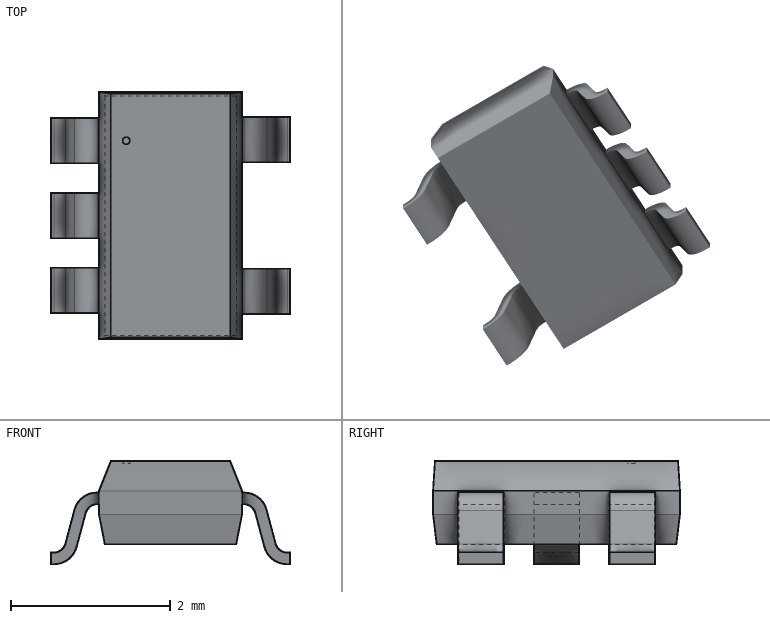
import cadquery as cq
import math

SPAN_X = 3.0
HEIGHT = 1.3

HOUSING_X = 1.798
HOUSING_Y = 3.1
HOUSING_BOTTOM_Z = 0.25
WAIST_BOTTOM_Z = 0.63
WAIST_TOP_Z = 0.92
TOP_INSET_X = 0.152
TOP_INSET_Y = 0.025
BOTTOM_INSET_X = 0.075
BOTTOM_INSET_Y = 0.045

LEAD_WIDTH = 0.57
LEAD_THICKNESS = 0.15
LEAD_TOP_Z = 0.902
INNER_BEND_RADIUS = 0.15
OUTER_BEND_RADIUS = INNER_BEND_RADIUS + LEAD_THICKNESS
BEND_ANGLE = 75.0
FOOT_FLAT = 0.037
LEFT_PITCH = 0.94
RIGHT_OFFSET_Y = 0.952
LEFT_LEAD_YS = (-LEFT_PITCH, 0, LEFT_PITCH)
RIGHT_LEAD_YS = (-RIGHT_OFFSET_Y, RIGHT_OFFSET_Y)

MARKER_DIAMETER = 0.09
MARKER_DEPTH = 0.03
MARKER_X = -0.555
MARKER_Y = LEFT_PITCH


def tapered_half(waist_z, end_z, inset_x, inset_y):
    """Loft from the full waist rectangle to a smaller rectangle at end_z."""
    return (
        cq.Workplane("XY", origin=(0, 0, waist_z))
        .rect(HOUSING_X, HOUSING_Y)
        .workplane(offset=end_z - waist_z)
        .rect(HOUSING_X - 2 * inset_x, HOUSING_Y - 2 * inset_y)
        .loft(ruled=True)
    )


def make_marker():
    """Round disc whose upper face lies in the housing's top face."""
    return (
        cq.Workplane("XY", origin=(MARKER_X, MARKER_Y, HEIGHT))
        .circle(MARKER_DIAMETER / 2)
        .extrude(-MARKER_DEPTH)
    )


def make_housing(marker):
    """Waist and two tapered halves, with a recess for the marker."""
    waist = (
        cq.Workplane("XY", origin=(0, 0, WAIST_BOTTOM_Z))
        .rect(HOUSING_X, HOUSING_Y)
        .extrude(WAIST_TOP_Z - WAIST_BOTTOM_Z)
    )
    upper = tapered_half(WAIST_TOP_Z, HEIGHT, TOP_INSET_X, TOP_INSET_Y)
    lower = tapered_half(WAIST_BOTTOM_Z, HOUSING_BOTTOM_Z, BOTTOM_INSET_X, BOTTOM_INSET_Y)
    return waist.union(upper).union(lower).cut(marker)


def bend_point(center, radius, angle):
    """Point on a bend, its angle measured from straight down toward +X."""
    turn = math.radians(angle)
    return (center[0] + radius * math.sin(turn), center[1] - radius * math.cos(turn))


def make_left_lead(y):
    """Lead on the -X side: foot, upward bend, sloped leg, bend into the housing."""
    toe_x = -SPAN_X / 2
    wall_x = -HOUSING_X / 2
    bend = math.radians(BEND_ANGLE)

    foot_center = (toe_x + FOOT_FLAT, OUTER_BEND_RADIUS)
    shoulder_z = LEAD_TOP_Z - OUTER_BEND_RADIUS
    radius_sum = INNER_BEND_RADIUS + OUTER_BEND_RADIUS
    leg_rise = shoulder_z - foot_center[1] + radius_sum * math.cos(bend)
    shoulder_x = foot_center[0] + radius_sum * math.sin(bend) + leg_rise / math.tan(bend)
    shoulder_center = (shoulder_x, shoulder_z)

    profile = (
        cq.Workplane("XZ", origin=(0, y, 0))
        .moveTo(toe_x, 0)
        .lineTo(foot_center[0], 0)
        .threePointArc(
            bend_point(foot_center, OUTER_BEND_RADIUS, BEND_ANGLE / 2),
            bend_point(foot_center, OUTER_BEND_RADIUS, BEND_ANGLE),
        )
        .lineTo(*bend_point(shoulder_center, -INNER_BEND_RADIUS, BEND_ANGLE))
        .threePointArc(
            bend_point(shoulder_center, -INNER_BEND_RADIUS, BEND_ANGLE / 2),
            bend_point(shoulder_center, -INNER_BEND_RADIUS, 0),
        )
        .lineTo(wall_x, LEAD_TOP_Z - LEAD_THICKNESS)
        .lineTo(wall_x, LEAD_TOP_Z)
        .lineTo(shoulder_x, LEAD_TOP_Z)
        .threePointArc(
            bend_point(shoulder_center, -OUTER_BEND_RADIUS, BEND_ANGLE / 2),
            bend_point(shoulder_center, -OUTER_BEND_RADIUS, BEND_ANGLE),
        )
        .lineTo(*bend_point(foot_center, INNER_BEND_RADIUS, BEND_ANGLE))
        .threePointArc(
            bend_point(foot_center, INNER_BEND_RADIUS, BEND_ANGLE / 2),
            bend_point(foot_center, INNER_BEND_RADIUS, 0),
        )
        .lineTo(toe_x, LEAD_THICKNESS)
        .close()
    )
    return profile.extrude(LEAD_WIDTH / 2, both=True)


def make_right_lead(y):
    """Lead on the +X side: mirror image of a left lead."""
    return make_left_lead(y).mirror("YZ")


marker = make_marker()
housing = make_housing(marker)
leads = [make_left_lead(y) for y in LEFT_LEAD_YS]
leads += [make_right_lead(y) for y in RIGHT_LEAD_YS]

result = cq.Compound.makeCompound([housing.val(), marker.val(), *[lead.val() for lead in leads]])